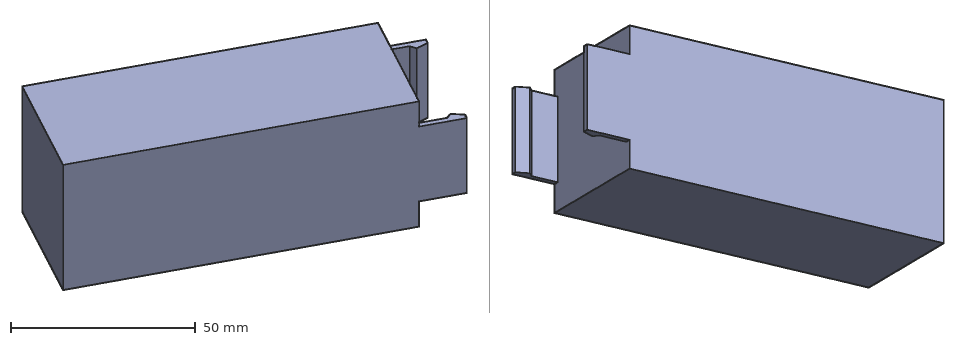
import cadquery as cq

body_width = 38.0
body_height = 41.8
overall_length = 114.2
arm_length = 13.55
arm_height = 25.0
arm_thickness = 1.7
tip_thickness = arm_thickness
barb_reach = 3.2
barb_setback = 3.65

body_length = overall_length - arm_length
half_width = body_width / 2


def make_body():
    """Plain rectangular block, centred on X and Z."""
    return cq.Workplane("XY").box(body_width, body_length, body_height, centered=(True, False, True))


def make_left_arm():
    """Snap arm flush with the -X side, with a barb pointing inwards."""
    outer_x = -half_width
    inner_x = outer_x + arm_thickness
    barb_x = outer_x + barb_reach
    barb_y = overall_length - barb_setback
    root_y = barb_y - (barb_x - inner_x)
    return (
        cq.Workplane("XY", origin=(0, 0, -arm_height / 2))
        .moveTo(outer_x, body_length)
        .lineTo(outer_x, overall_length)
        .lineTo(outer_x + tip_thickness, overall_length)
        .lineTo(barb_x, barb_y)
        .lineTo(inner_x, root_y)
        .lineTo(inner_x, body_length)
        .close()
        .extrude(arm_height)
    )


left_arm = make_left_arm()
right_arm = left_arm.mirror("YZ")
result = make_body().union(left_arm).union(right_arm)